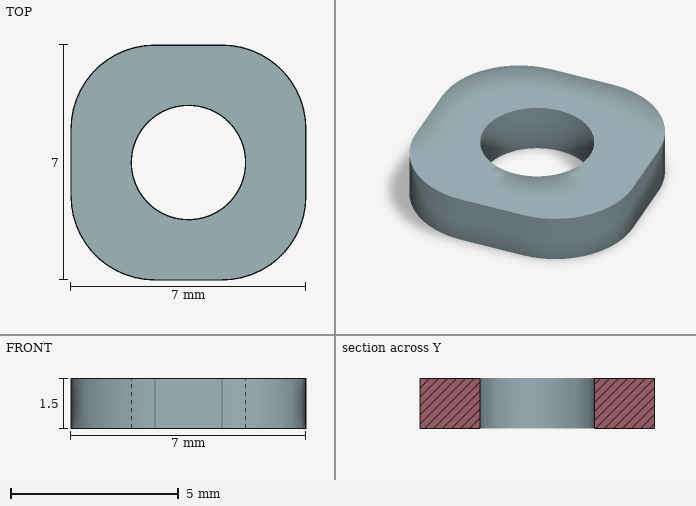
import cadquery as cq

side_length = 7.0
corner_radius = 2.5
thickness = 1.5
hole_diameter = 3.4


def rounded_square_plate():
    """Square plate with its four upright edges rounded."""
    plate = cq.Workplane("XY").rect(side_length, side_length).extrude(thickness)
    return plate.edges("|Z").fillet(corner_radius)


def cut_center_hole(plate):
    """Plain through hole on the plate's axis."""
    return plate.faces(">Z").workplane(origin=(0, 0, thickness)).hole(hole_diameter)


result = cut_center_hole(rounded_square_plate())